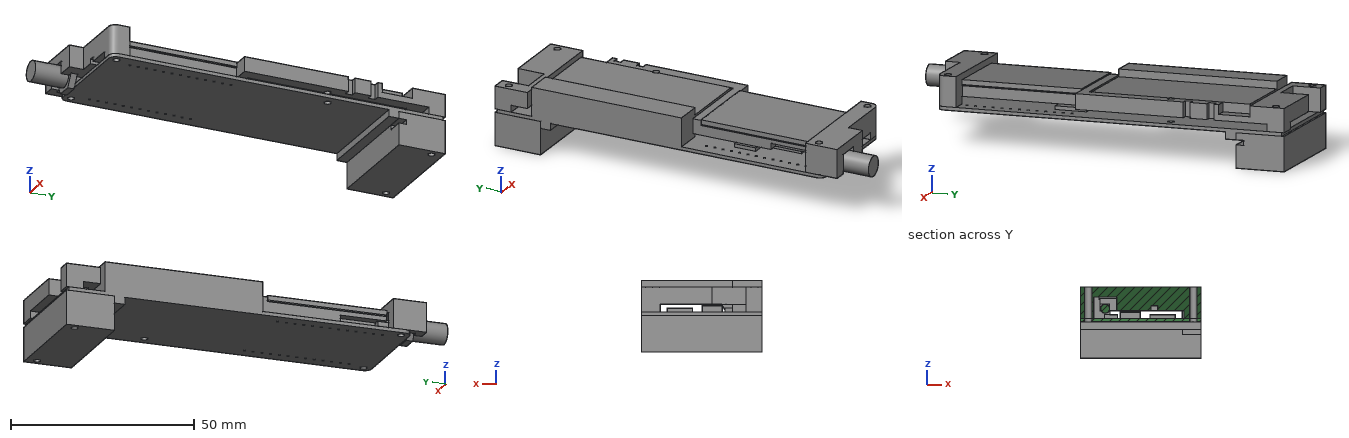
import cadquery as cq
import math

WIDTH = 32.9
LENGTH = 112.8
HEIGHT = 19.5

BOARD_BOTTOM = 9.9
BOARD_THICKNESS = 1.0
BOARD_TOP = BOARD_BOTTOM + BOARD_THICKNESS
BOARD_FRONT = 12.0
BOARD_REAR = 112.1
CORNER_RADIUS = 2.0

SCREW_DIAMETER = 1.9
SCREW_INSET = 2.1
SCREW_Y_FRONT = 14.3
SCREW_Y_REAR = 109.7
MIDDLE_SCREW = (29.8, 78.7)
CORNER_SCREWS = [(x, y) for x in (SCREW_INSET, WIDTH - SCREW_INSET) for y in (SCREW_Y_FRONT, SCREW_Y_REAR)]

HEADER_DIAMETER = 0.6
HEADER_ROW_SPACING = 25.4
HEADER_COUNT = 13
HEADER_FIRST_Y = 19.2
HEADER_LAST_Y = 49.8
HEADER_PITCH = (HEADER_LAST_Y - HEADER_FIRST_Y) / (HEADER_COUNT - 1)

CHIP_X = (10.8, 16.4)
CHIP_Y = (24.3, 43.7)
CHIP_HEIGHT = 1.7
LOW_PART_HEIGHT = 1.0
LEFT_PART_X = (6.5, 10.2)
LEFT_PART_Y = (36.1, 42.6)
RIGHT_PART_X = (19.0, 26.0)
RIGHT_PART_Y = (43.7, 52.8)

BAR_BOTTOM = 7.9
BAR_FRONT = 95.8
BLOCK_FRONT = 98.8
BLOCK_NOTCH_WIDTH = 5.1
BLOCK_NOTCH_HEIGHT = 1.4
BLOCK_NOTCH_DEPTH = 2.3

FRAME_BOTTOM = 13.0
RAIL_TOP = 17.4
RAIL_LEFT = 29.3
RAIL_REAR = 93.8
LINK_TOP = 14.7
CROSSBAR_LEFT = 5.4
CROSSBAR_FRONT = 52.1
CROSSBAR_REAR = 54.8
CLAMP_FRONT = 7.7
CLAMP_REAR = 17.4
CLAMP_NOSE_WIDTH = 15.0
CLAMP_WINDOW_LEFT = 3.7
CLAMP_WINDOW_RIGHT = 28.2
CLAMP_GROOVE_X = (19.3, 21.1)
CLAMP_GROOVE_HEIGHT = 1.4
RAIL_NOTCH_DEPTH = 1.7
RAIL_NOTCH_LENGTH = 2.0
RAIL_NOTCH_STARTS = (83.5, 90.4)
REAR_CLAMP_FRONT = 102.9
REAR_CLAMP_TOP = 17.7
REAR_LEG_FRONT = 107.9
REAR_WINDOW_RIGHT = 27.8
REAR_NOTCH_X = (4.4, 13.7)
REAR_NOTCH_FRONT = 104.8

HOUSING_WIDTH = 8.1
HOUSING_FRONT = 55.5
HOUSING_REAR = 101.5
PANEL_TOP = RAIL_TOP

PLATE_X = (5.1, 28.0)
PLATE_BOTTOM = 16.4
PLATE_TOP = REAR_CLAMP_TOP
LIP_THICKNESS = 0.3
TRAY_RIGHT = PLATE_X[0] + PLATE_X[1] - CROSSBAR_LEFT

AXIS_X = 6.8
AXIS_Z = 13.5
TUBE_DIAMETER = 6.0
NUT_FLATS = 8.0
NUT_CORNERS = NUT_FLATS * 2 / math.sqrt(3)
NUT_LENGTH = 1.9
NUT_FRONT = BOARD_FRONT - NUT_LENGTH
PIN_DIAMETER = 2.5
PIN_END = 19.7
SLOT_WIDTH = 6.2
SLOT_TOP = 16.7
PIN_NOTCH_REAR = 30.8
PIN_NOTCH_RIGHT = AXIS_X + PIN_DIAMETER / 2
PIN_NOTCH_TOP = AXIS_Z + PIN_DIAMETER / 2


def box(x_range, y_range, z_range):
    """Block spanning the three given ranges."""
    size = [high - low for low, high in (x_range, y_range, z_range)]
    corner = (x_range[0], y_range[0], z_range[0])
    return cq.Workplane("XY").box(*size, centered=False).translate(corner)


def upright_holes(points, diameter):
    """Cylinders over the full height, to be cut away."""
    return cq.Workplane("XY").pushPoints(points).circle(diameter / 2).extrude(HEIGHT)


def along_y(profile, start, end):
    """Sweep a profile, drawn on an XZ workplane at the connector axis, from start to end."""
    return profile.extrude(start - end).translate((AXIS_X, start, AXIS_Z))


def nut():
    """Hexagonal nut with a flat at its bottom, seated against the front edge of the board."""
    return along_y(cq.Workplane("XZ").polygon(6, NUT_CORNERS), NUT_FRONT, BOARD_FRONT)


def make_board():
    """Board with its battery housing, panel, low parts and under-bar."""
    board = box((0, WIDTH), (BOARD_FRONT, BOARD_REAR), (BOARD_BOTTOM, BOARD_TOP))
    board = board.edges("|Z and <Y").fillet(CORNER_RADIUS)

    housing_y = (HOUSING_FRONT, HOUSING_REAR)
    board = board.union(box((0, HOUSING_WIDTH), housing_y, (BOARD_TOP, HEIGHT)))
    board = board.union(box((HOUSING_WIDTH, RAIL_LEFT), housing_y, (FRAME_BOTTOM, PANEL_TOP)))
    board = board.union(box((0, WIDTH), (BAR_FRONT, BLOCK_FRONT), (BAR_BOTTOM, BOARD_BOTTOM)))

    low_parts = (
        (CHIP_X, CHIP_Y, CHIP_HEIGHT),
        (LEFT_PART_X, LEFT_PART_Y, LOW_PART_HEIGHT),
        (RIGHT_PART_X, RIGHT_PART_Y, LOW_PART_HEIGHT),
    )
    for x_range, y_range, part_height in low_parts:
        board = board.union(box(x_range, y_range, (BOARD_TOP, BOARD_TOP + part_height)))

    header_points = [
        (WIDTH / 2 + side * HEADER_ROW_SPACING / 2, HEADER_FIRST_Y + i * HEADER_PITCH)
        for side in (-1, 1)
        for i in range(HEADER_COUNT)
    ]
    board = board.cut(upright_holes(header_points, HEADER_DIAMETER))
    return board.cut(upright_holes([*CORNER_SCREWS, MIDDLE_SCREW], SCREW_DIAMETER))


def make_block():
    """Block under the rear end of the board, notched at the right of its front face."""
    block = box((0, WIDTH), (BLOCK_FRONT, LENGTH), (0, BOARD_BOTTOM))
    notch = box(
        (WIDTH - BLOCK_NOTCH_WIDTH, WIDTH),
        (BLOCK_FRONT, BLOCK_FRONT + BLOCK_NOTCH_DEPTH),
        (BAR_BOTTOM - BLOCK_NOTCH_HEIGHT, BAR_BOTTOM),
    )
    return block.cut(notch).cut(upright_holes(CORNER_SCREWS, SCREW_DIAMETER))


def make_front_clamp():
    """Stepped bar over the front end of the board, open below between its two legs."""
    body_y = (BOARD_FRONT, CLAMP_REAR)
    clamp_z = (BOARD_TOP, HEIGHT)
    clamp = box((0, WIDTH), body_y, clamp_z).edges("|Z and >X and <Y").fillet(CORNER_RADIUS)
    clamp = clamp.union(box((0, CLAMP_NOSE_WIDTH), (CLAMP_FRONT, BOARD_FRONT), clamp_z))

    full_y = (CLAMP_FRONT, CLAMP_REAR)
    clamp = clamp.cut(box((CLAMP_WINDOW_LEFT, CLAMP_WINDOW_RIGHT), full_y, (BOARD_TOP, FRAME_BOTTOM)))
    return clamp.cut(box(CLAMP_GROOVE_X, full_y, (FRAME_BOTTOM, FRAME_BOTTOM + CLAMP_GROOVE_HEIGHT)))


def cut_connector_seat(frame):
    """Tube slot through the front clamp, nut pocket inside it, and pin notch under the tray."""
    slot_x = (AXIS_X - SLOT_WIDTH / 2, AXIS_X + SLOT_WIDTH / 2)
    frame = frame.cut(box(slot_x, (CLAMP_FRONT, CLAMP_REAR), (BOARD_TOP, SLOT_TOP)))

    pocket_x = (AXIS_X - NUT_CORNERS / 2, AXIS_X + NUT_CORNERS / 2)
    frame = frame.cut(nut()).cut(box(pocket_x, (NUT_FRONT, BOARD_FRONT), (BOARD_TOP, AXIS_Z)))

    notch_x = (PLATE_X[0], PIN_NOTCH_RIGHT)
    return frame.cut(box(notch_x, (CLAMP_REAR, PIN_NOTCH_REAR), (FRAME_BOTTOM, PIN_NOTCH_TOP)))


def make_rear_clamp():
    """Bar over the rear end of the board, on two legs and with a notch through its rear edge."""
    clamp = box((0, WIDTH), (REAR_CLAMP_FRONT, LENGTH), (FRAME_BOTTOM, REAR_CLAMP_TOP))
    for leg_x in ((0, REAR_NOTCH_X[0]), (REAR_WINDOW_RIGHT, WIDTH)):
        clamp = clamp.union(box(leg_x, (REAR_LEG_FRONT, LENGTH), (BOARD_TOP, FRAME_BOTTOM)))
    return clamp.cut(box(REAR_NOTCH_X, (REAR_NOTCH_FRONT, LENGTH), (FRAME_BOTTOM, REAR_CLAMP_TOP)))


def make_frame():
    """One piece holding board, display plate and connector together."""
    frame = make_front_clamp()

    tray_y = (CLAMP_REAR, CROSSBAR_FRONT)
    lip_bottom = PLATE_BOTTOM - LIP_THICKNESS
    frame = frame.union(box((CROSSBAR_LEFT, TRAY_RIGHT), tray_y, (FRAME_BOTTOM, lip_bottom)))
    frame = frame.union(box(PLATE_X, tray_y, (lip_bottom, PLATE_BOTTOM)))
    rail_z = (FRAME_BOTTOM, RAIL_TOP)
    frame = frame.union(box((CROSSBAR_LEFT, WIDTH), (CROSSBAR_FRONT, CROSSBAR_REAR), rail_z))

    rail = box((RAIL_LEFT, WIDTH), (CROSSBAR_REAR, RAIL_REAR), rail_z)
    for start in RAIL_NOTCH_STARTS:
        rail = rail.cut(box((WIDTH - RAIL_NOTCH_DEPTH, WIDTH), (start, start + RAIL_NOTCH_LENGTH), rail_z))
    link = box((RAIL_LEFT, WIDTH), (RAIL_REAR, REAR_CLAMP_FRONT), (FRAME_BOTTOM, LINK_TOP))
    frame = frame.union(rail).union(link).union(make_rear_clamp())

    frame = cut_connector_seat(frame)
    return frame.cut(upright_holes([*CORNER_SCREWS, MIDDLE_SCREW], SCREW_DIAMETER))


def make_display_plate():
    return box(PLATE_X, (CLAMP_REAR, CROSSBAR_FRONT), (PLATE_BOTTOM, PLATE_TOP))


def make_connector():
    """Antenna connector: tube, hexagonal nut against the board edge, and thin rear pin."""
    tube = along_y(cq.Workplane("XZ").circle(TUBE_DIAMETER / 2), 0, BOARD_FRONT)
    pin = along_y(cq.Workplane("XZ").circle(PIN_DIAMETER / 2), BOARD_FRONT, PIN_END)
    return tube.union(nut()).union(pin)


bodies = [make_board(), make_block(), make_frame(), make_display_plate(), make_connector()]
result = cq.Compound.makeCompound([body.val() for body in bodies])